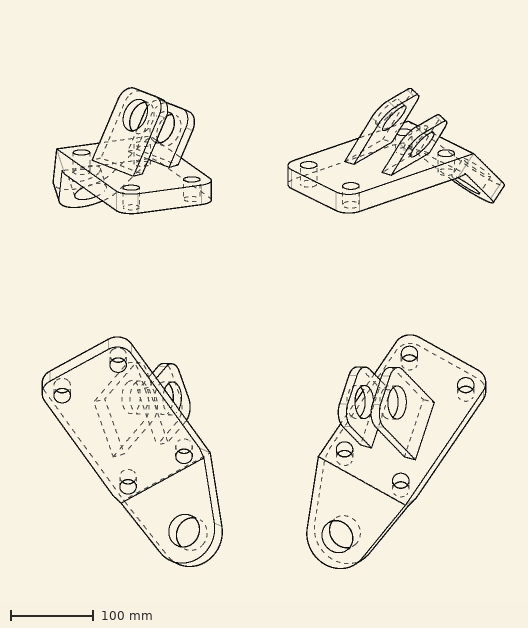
import cadquery as cq
import math

thickness = 25.0
base_length = 200.0
base_width = 124.0
base_corner_radius = 20.0
bolt_diameter = 20.0
bolt_spacing_x = 150.0
bolt_spacing_y = 80.0
bolt_end_distance = 25.0

bend_angle = 45.0
arm_eye_distance = 80.0
arm_eye_radius = 40.0
arm_hole_diameter = 40.0

lug_width = 80.0
lug_length = 100.0
lug_thickness = 12.0
clevis_width = 60.0
lug_corner_radius = 20.0
lug_hole_diameter = 40.0
lug_hole_height = 70.0
lug_turn = 15.0
lug_tilt = 60.0
lug_foot_x = 96.6
lug_foot_y = -30.12

half_width = base_width / 2
arm_length = arm_eye_distance + arm_eye_radius
bend_sin = math.sin(math.radians(bend_angle))
bend_cos = math.cos(math.radians(bend_angle))


def make_bent_plate():
    """Full-width plate of constant thickness, bent along the line X = 0, Z = 0."""
    inner_bend_x = thickness * math.tan(math.radians(bend_angle / 2))
    tip = (-arm_length * bend_cos, -arm_length * bend_sin)
    tip_below = (tip[0] + thickness * bend_sin, tip[1] - thickness * bend_cos)
    profile = [
        (0, 0),
        (base_length, 0),
        (base_length, -thickness),
        (inner_bend_x, -thickness),
        tip_below,
        tip,
    ]
    plate = cq.Workplane("XZ").polyline(profile).close().extrude(half_width, both=True)
    return plate.edges("|Z and >X").fillet(base_corner_radius)


def arm_workplane():
    """Plane on the arm's top face; local X runs from the bend line towards the eye."""
    return cq.Workplane(
        cq.Plane(
            origin=(0, 0, 0),
            xDir=(-bend_cos, 0, -bend_sin),
            normal=(-bend_sin, 0, bend_cos),
        )
    )


def taper_arm(plate):
    """Trim the arm to lines running from the bend corners tangent to the eye."""
    corner_distance = math.hypot(arm_eye_distance, half_width)
    corner_angle = math.atan2(half_width, -arm_eye_distance)
    tangent_angle = corner_angle - math.acos(arm_eye_radius / corner_distance)
    tangent_x = arm_eye_distance + arm_eye_radius * math.cos(tangent_angle)
    tangent_y = arm_eye_radius * math.sin(tangent_angle)

    trim_depth = thickness / bend_cos
    stock = (
        arm_workplane()
        .center(arm_length / 2, 0)
        .rect(arm_length, base_width)
        .extrude(-trim_depth)
    )
    outline = (
        arm_workplane()
        .moveTo(0, half_width)
        .lineTo(tangent_x, tangent_y)
        .threePointArc((arm_length, 0), (tangent_x, -tangent_y))
        .lineTo(0, -half_width)
        .close()
        .extrude(-trim_depth)
    )
    return plate.cut(stock.cut(outline))


def drill_plate(plate):
    """Bolt holes through the base and the eye hole through the arm."""
    bolt_centre_x = bolt_end_distance + bolt_spacing_x / 2
    bolts = (
        cq.Workplane("XY")
        .center(bolt_centre_x, 0)
        .rect(bolt_spacing_x, bolt_spacing_y, forConstruction=True)
        .vertices()
        .circle(bolt_diameter / 2)
        .extrude(-thickness)
    )
    eye = (
        arm_workplane()
        .center(arm_eye_distance, 0)
        .circle(arm_hole_diameter / 2)
        .extrude(-thickness)
    )
    return plate.cut(bolts).cut(eye)


def make_lug(offset):
    """Lug whose front face lies `offset` behind the clevis front, trimmed at Z = 0."""
    foot_depth = clevis_width
    height = lug_length + foot_depth
    lug = (
        cq.Workplane("XY")
        .box(lug_width, lug_thickness, height, centered=(True, False, False))
        .translate((0, offset, -foot_depth))
        .edges("|Y and >Z")
        .fillet(lug_corner_radius)
    )
    hole = (
        cq.Workplane("XZ", origin=(0, offset, lug_hole_height))
        .circle(lug_hole_diameter / 2)
        .extrude(-lug_thickness)
    )
    lug = (
        lug.cut(hole)
        .rotate((0, 0, 0), (1, 0, 0), lug_tilt - 90)
        .rotate((0, 0, 0), (0, 0, 1), lug_turn)
        .translate((lug_foot_x, lug_foot_y, 0))
    )
    reach = lug_length + clevis_width + lug_width
    below_base = (
        cq.Workplane("XY")
        .center(lug_foot_x, lug_foot_y)
        .rect(2 * reach, 2 * reach)
        .extrude(-reach)
    )
    return lug.cut(below_base)


result = drill_plate(taper_arm(make_bent_plate()))
for lug_offset in (0, clevis_width - lug_thickness):
    result = result.union(make_lug(lug_offset))